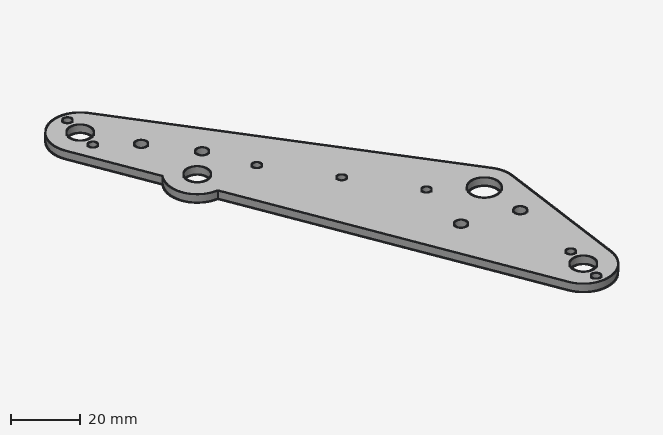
import cadquery as cq
import math

length = 150.0
width = 109.9
thickness = 3.0
corner_radius = length / 15

lower_pivot = (corner_radius, corner_radius)
upper_pivot = (length - corner_radius, width - corner_radius)
middle_pivot = (45.0, 28.0)
apex_pivot = (93.0, 95.0)

pivot_diameter = 8.0
apex_diameter = 10.0
pin_diameter = 3.0
pin_offset = 7.0
bolt_diameter = 4.0
bolt_points = [(23.8, 22.0), (36.0, 35.1), (105.0, 80.0), (108.0, 98.0)]
row_start = (50.0, 45.0)
row_step = 17.7
row_count = 3


def offset_point(center, angle):
    """Point on the corner circle around center, in the direction angle."""
    return (
        center[0] + corner_radius * math.cos(angle),
        center[1] + corner_radius * math.sin(angle),
    )


def outward_angle(start, end):
    """Direction of the outward normal of a counterclockwise edge."""
    return math.atan2(end[1] - start[1], end[0] - start[0]) - math.pi / 2


def rounded_plate(centers):
    """Plate around counterclockwise centers, with tangent edges and round corners."""
    first_angle = outward_angle(centers[0], centers[1])
    outline = cq.Workplane("XY").moveTo(*offset_point(centers[0], first_angle))
    for index in range(len(centers)):
        start = centers[index]
        end = centers[(index + 1) % len(centers)]
        after = centers[(index + 2) % len(centers)]
        arc_start = outward_angle(start, end)
        arc_sweep = (outward_angle(end, after) - arc_start) % (2 * math.pi)
        outline = outline.lineTo(*offset_point(end, arc_start)).threePointArc(
            offset_point(end, arc_start + arc_sweep / 2),
            offset_point(end, arc_start + arc_sweep),
        )
    return outline.close().extrude(thickness)


def cylinders(points, diameter):
    """Full-thickness cylinders at the given points."""
    return cq.Workplane("XY").pushPoints(points).circle(diameter / 2).extrude(thickness)


plate = rounded_plate([lower_pivot, upper_pivot, apex_pivot])
plate = plate.union(cylinders([middle_pivot], 2 * corner_radius))

pin_points = [
    (x + side * pin_offset, y)
    for x, y in (lower_pivot, upper_pivot)
    for side in (-1, 1)
]

row_points = [
    (row_start[0] + i * row_step, row_start[1] + i * row_step)
    for i in range(row_count)
]

plate = plate.cut(cylinders([lower_pivot, middle_pivot, upper_pivot], pivot_diameter))
plate = plate.cut(cylinders([apex_pivot], apex_diameter))
plate = plate.cut(cylinders(pin_points + row_points, pin_diameter))
plate = plate.cut(cylinders(bolt_points, bolt_diameter))

result = plate